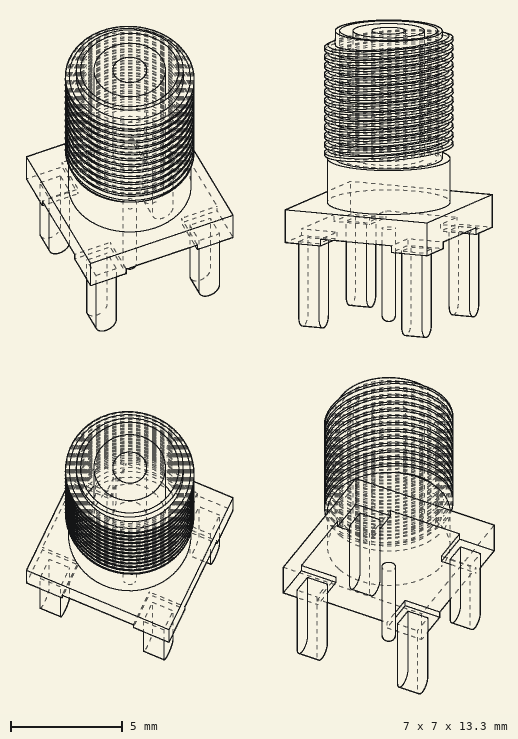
import cadquery as cq

TOTAL_HEIGHT = 13.29
BASE_BOTTOM = 3.95
BASE_TOP = 5.45
COLLAR_TOP = 7.45

BASE_SIDE = 7.0
RELIEF_WIDTH = 3.5
RELIEF_DEPTH = 0.3

COLLAR_DIAMETER = 5.5
BARREL_DIAMETER = 4.8
BORE_DIAMETER = 4.4
INSERT_DIAMETER = 3.2
SOCKET_DIAMETER = 1.52

RING_DIAMETER = 5.78
RING_THICKNESS = 0.2
RING_BEVEL_HEIGHT = 0.07
RING_BEVEL_WIDTH = 0.17
RING_COUNT = 13
RING_TILT = 5.0
TOP_RING_HEIGHT = 12.73
LOWEST_RING_HEIGHT = 7.93
RING_PITCH = (TOP_RING_HEIGHT - LOWEST_RING_HEIGHT) / (RING_COUNT - 1)

LEG_WIDTH = 1.01
LEG_SPACING = 5.08
PIN_DIAMETER = 0.61
PIN_TIP_RADIUS = 0.27


def cylinder(diameter, bottom, top):
    return cq.Workplane("XY").workplane(offset=bottom).circle(diameter / 2).extrude(top - bottom)


def make_base():
    base = cq.Workplane("XY").workplane(offset=BASE_BOTTOM).rect(BASE_SIDE, BASE_SIDE)
    base = base.extrude(BASE_TOP - BASE_BOTTOM)
    for length_x, length_y in ((BASE_SIDE, RELIEF_WIDTH), (RELIEF_WIDTH, BASE_SIDE)):
        relief = cq.Workplane("XY").workplane(offset=BASE_BOTTOM).rect(length_x, length_y)
        base = base.cut(relief.extrude(RELIEF_DEPTH))
    return base


def make_leg(x, y):
    """Square leg whose lower end is rounded about an axis along X."""
    radius = LEG_WIDTH / 2
    profile = (
        cq.Workplane("YZ")
        .workplane(offset=x - radius)
        .moveTo(y - radius, BASE_BOTTOM)
        .lineTo(y - radius, radius)
        .threePointArc((y, 0), (y + radius, radius))
        .lineTo(y + radius, BASE_BOTTOM)
        .close()
    )
    return profile.extrude(LEG_WIDTH)


def make_pin():
    pin = cylinder(PIN_DIAMETER, 0, BASE_BOTTOM + RELIEF_DEPTH)
    return pin.faces("<Z").edges().fillet(PIN_TIP_RADIUS)


def make_ring(height):
    """Thread ring rooted in the middle of the barrel wall, with its -X side tilted upward."""
    inner_radius = (BORE_DIAMETER + BARREL_DIAMETER) / 4
    outer_radius = RING_DIAMETER / 2
    half_thickness = RING_THICKNESS / 2
    ring = (
        cq.Workplane("XZ")
        .moveTo(inner_radius, -half_thickness)
        .lineTo(outer_radius, -half_thickness)
        .lineTo(outer_radius, half_thickness - RING_BEVEL_HEIGHT)
        .lineTo(outer_radius - RING_BEVEL_WIDTH, half_thickness)
        .lineTo(inner_radius, half_thickness)
        .close()
        .revolve(360, (0, 0, 0), (0, 1, 0))
    )
    return ring.rotate((0, 0, 0), (0, 1, 0), RING_TILT).translate((0, 0, height))


def make_barrel():
    """Threaded tube open at the top, with the collar top as the floor of its bore."""
    barrel = cylinder(BARREL_DIAMETER, COLLAR_TOP, TOTAL_HEIGHT)
    barrel = barrel.cut(cylinder(BORE_DIAMETER, COLLAR_TOP, TOTAL_HEIGHT))
    for index in range(RING_COUNT):
        barrel = barrel.union(make_ring(LOWEST_RING_HEIGHT + index * RING_PITCH))
    return barrel


def make_insert():
    """Central insert flush with the barrel rim, with a socket down to the collar."""
    insert = cylinder(INSERT_DIAMETER, COLLAR_TOP, TOTAL_HEIGHT)
    return insert.cut(cylinder(SOCKET_DIAMETER, COLLAR_TOP, TOTAL_HEIGHT))


result = make_base()
result = result.union(cylinder(COLLAR_DIAMETER, BASE_TOP, COLLAR_TOP))
result = result.union(make_barrel())
result = result.union(make_insert())
result = result.union(make_pin())
for side_x in (-1, 1):
    for side_y in (-1, 1):
        result = result.union(make_leg(side_x * LEG_SPACING / 2, side_y * LEG_SPACING / 2))